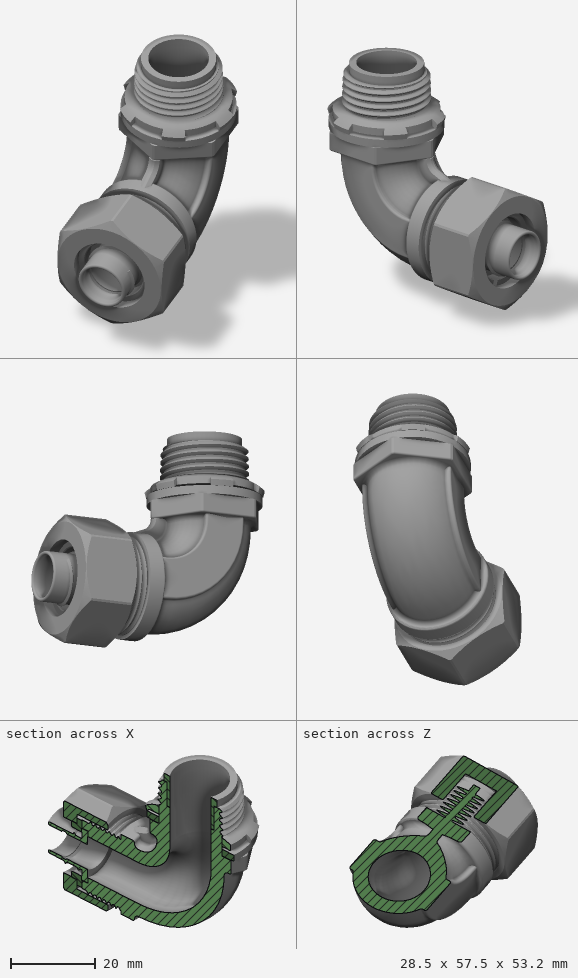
import cadquery as cq
import math


pipe_bore_radius = 7.2
pipe_radius = 10.9
bend_radius = 15.75
pad_half_span = 11.15
pad_width = 10.05
pad_shift = 0.3
pad_fillet = 0.5

box_hex_flats = 24.95
box_hex_corner_chamfer = 0.4
box_hex_bottom = 17.0
box_hex_top = 21.55
box_hex_fillet = 0.4
neck_radius = 10.35
neck_shoulder = 27.05
neck_top = 35.45

box_thread_root = 9.5
box_thread_height = 0.85
box_thread_pitch = 9.1 / 5
box_thread_taper = 1.8
box_thread_start = 36.3
box_thread_lead_in = 9.75

flange_radius = 12.8
flange_back = -16.95
flange_front = -21.15
flange_fillet = 0.6
root_fillet = 1.1

sleeve_radius = 11.15
sleeve_end = -33.05
gland_thread_height = 0.7
gland_thread_pitch = 14.1 / 10
gland_thread_start = -31.45

rib_half_width = 1.4
rib_depth = 4.6
rib_arc_radius = 2.95
rib_arc_angle = 69.0
rib_run = 4.35
rib_fillet = 0.45

throat_head_radius = 8.9
throat_top = 37.7
throat_bottom = 28.15
throat_sleeve_radius = 7.95

washer_radius = 13.75
washer_top = 23.55

locknut_radius = 28.45 / 2
locknut_rim_height = 24.95
locknut_crown_radius = 13.0
locknut_crown_height = 25.9
locknut_underside = 24.25
tooth_root_radius = 12.85
tooth_foot_radius = 13.85
notch_count = 6
notch_inner_radius = 12.75
notch_angle = 37.0
notch_fillet = 0.35
first_notch_at = 20.0

nut_flats = 27.2
nut_corner_chamfer = 0.35
nut_back = -25.05
nut_front = -38.7
nut_face_radius = 13.45
nut_chamfer_length = 1.55
nut_mouth_radius = 9.2
nut_bore_radius = 11.95
nut_shoulder = -34.5

ring_inner_radius = 7.6
ring_chamfer = 0.25
ring_flange_radius = 10.9
ring_front = -36.2
ring_slot_width = 1.4
ring_slot_angle = -107.5

ferrule_bore_radius = 5.2
ferrule_groove_radius = 5.45
ferrule_groove_setback = 4.3
ferrule_groove_width = 1.15
ferrule_radius = 6.05
ferrule_tip = -43.25
ferrule_flange_radius = 8.6
ferrule_flange_length = 1.7
ferrule_ridge_height = 0.6
ferrule_ridge_width = 1.15
ferrule_ridge_pitch = 4.0
ferrule_ridge_start = -39.1
ferrule_ridge_turns = 1.3
ferrule_ridge_angle = 33.0

thread_overlap = 0.2
thread_base_share = 0.9
ridge_crest_share = 0.1
no_taper = 360


def turned(plane, outline):
    """Revolve (radius, station) points about the Z axis (plane XZ) or the Y axis (plane XY)."""
    return cq.Workplane(plane).polyline(outline).close().revolve(360, (0, 0), (0, 1))


def tube(plane, inner, outer, start, end):
    return turned(plane, [(inner, start), (outer, start), (outer, end), (inner, end)])


def rod(plane, radius, start, end):
    return tube(plane, 0, radius, start, end)


def hexagon(plane, across_flats, length, corner_chamfer):
    """Hexagonal prism with flats facing +X and -X and trimmed corners."""
    corner = across_flats / math.sqrt(3)
    points = [
        (corner * math.cos(math.radians(angle)), corner * math.sin(math.radians(angle)))
        for angle in range(30, 390, 60)
    ]
    prism = cq.Workplane(plane).polyline(points).close().extrude(length)
    return prism.edges("|Z" if plane == "XY" else "|Y").chamfer(corner_chamfer)


def thread_ridge(root_radius, height, pitch, turns, base_width, taper=no_taper):
    """Right-hand helical ridge that climbs +Z from the XY plane, starting on the +X axis."""
    path = cq.Wire.makeHelix(pitch, pitch * turns, root_radius, angle=taper)
    half_base = base_width / 2
    half_crest = half_base * ridge_crest_share
    profile = (
        cq.Workplane("XZ")
        .moveTo(root_radius - thread_overlap, -half_base)
        .lineTo(root_radius + height, -half_crest)
        .lineTo(root_radius + height, half_crest)
        .lineTo(root_radius - thread_overlap, half_base)
        .close()
    )
    return profile.sweep(cq.Workplane(path), isFrenet=True)


def along_y(shape):
    """Turn a shape built along +Z so that it runs along +Y."""
    return shape.rotate((0, 0, 0), (1, 0, 0), -90)


def bent(workplane):
    """Sweep a pending section at the top of the bend through the quarter turn."""
    return workplane.revolve(90, (0, -bend_radius), (-1, -bend_radius))


def bend_top():
    return cq.Workplane("XY", origin=(0, 0, bend_radius))


def pipe_section(shift):
    """Pipe circle merged with the pads, which are shifted along the local y axis."""
    return (
        cq.Sketch()
        .circle(pipe_radius)
        .push([(0, shift)])
        .rect(2 * pad_half_span, pad_width)
        .reset()
        .clean()
        .vertices()
        .fillet(pad_fillet)
    )


def make_elbow_pipe():
    """Round pipe with a raised flat pad along each side."""
    upper_section = pipe_section(-pad_shift)
    lower_section = pipe_section(pad_shift)
    bend = bent(bend_top().placeSketch(upper_section))
    upper = bend_top().placeSketch(upper_section).extrude(box_hex_bottom - bend_radius)
    lower = (
        cq.Workplane("XZ", origin=(0, -bend_radius, 0))
        .placeSketch(lower_section)
        .extrude(-flange_back - bend_radius)
    )
    return bend.union(upper).union(lower)


def root_flare(plane, seat):
    """Concave fillet ring between the pipe and the face it meets at the given station."""
    tangent = seat - math.copysign(root_fillet, seat)
    arc_middle = root_fillet * (1 - math.sqrt(0.5))
    arc_point = (pipe_radius + arc_middle, seat - math.copysign(arc_middle, seat))
    return (
        cq.Workplane(plane)
        .moveTo(pipe_bore_radius, seat)
        .lineTo(pipe_radius + root_fillet, seat)
        .threePointArc(arc_point, (pipe_radius, tangent))
        .lineTo(pipe_bore_radius, tangent)
        .close()
        .revolve(360, (0, 0), (0, 1))
    )


def make_rib():
    """Roof-shaped rib that carries the front corner of the hexagon down to the flange."""
    ridge_y = -(box_hex_flats / math.sqrt(3) - box_hex_corner_chamfer / 2)
    crest_half_width = box_hex_corner_chamfer * math.sqrt(3) / 2
    shoulder_y = ridge_y + (rib_half_width - crest_half_width) * math.tan(math.radians(30))
    inner_y = ridge_y + rib_depth
    turn = math.radians(rib_arc_angle)

    def on_arc(angle):
        return (
            ridge_y - rib_arc_radius * (1 - math.cos(angle)),
            box_hex_bottom - rib_arc_radius * math.sin(angle),
        )

    arc_end = on_arc(turn)
    run_end = (arc_end[0] - rib_run * math.sin(turn), arc_end[1] - rib_run * math.cos(turn))
    path = (
        cq.Workplane("YZ")
        .moveTo(*on_arc(0))
        .threePointArc(on_arc(turn / 2), arc_end)
        .lineTo(*run_end)
    )
    section = [
        (crest_half_width, ridge_y),
        (rib_half_width, shoulder_y),
        (rib_half_width, inner_y),
        (-rib_half_width, inner_y),
        (-rib_half_width, shoulder_y),
        (-crest_half_width, ridge_y),
    ]
    return (
        cq.Workplane("XY", origin=(0, 0, box_hex_bottom))
        .polyline(section)
        .close()
        .sweep(path, transition="right")
    )


def make_ribbed_pipe():
    """Pipe and rib, filleted where the rib flanks leave the pipe."""
    ribbed = make_elbow_pipe().union(make_rib())
    foot_radius = bend_radius - math.sqrt(pipe_radius**2 - rib_half_width**2)
    flank_feet = [
        edge for edge in ribbed.edges("%CIRCLE").vals()
        if math.isclose(edge.radius(), foot_radius, abs_tol=0.005)
    ]
    return ribbed.newObject(flank_feet).fillet(rib_fillet)


def make_box_thread():
    """Tapered thread on the neck, cut off square at the shoulder and with a lead-in on top."""
    turns = math.ceil((box_thread_start - neck_shoulder) / box_thread_pitch) + 1
    base_width = box_thread_pitch * thread_base_share
    ridge = thread_ridge(
        box_thread_root, box_thread_height, box_thread_pitch, turns, base_width, box_thread_taper
    )
    ridge = ridge.rotate((0, 0, 0), (1, 0, 0), 180).translate((0, 0, box_thread_start))
    outside = box_thread_root + 2 * box_thread_height
    envelope = turned("XZ", [
        (0, neck_shoulder),
        (outside, neck_shoulder),
        (outside, neck_top - outside + box_thread_lead_in),
        (box_thread_lead_in, neck_top),
        (0, neck_top),
    ])
    return ridge.intersect(envelope)


def make_gland_thread():
    """Straight thread on the sleeve, running up to the flange."""
    turns = math.ceil((flange_front - gland_thread_start) / gland_thread_pitch)
    base_width = gland_thread_pitch * thread_base_share
    ridge = thread_ridge(sleeve_radius, gland_thread_height, gland_thread_pitch, turns, base_width)
    ridge = along_y(ridge).translate((0, gland_thread_start, 0))
    return ridge.intersect(rod("XY", nut_bore_radius, sleeve_end, flange_front))


def make_elbow():
    """Cast body: bend, box-end hexagon and neck, conduit-end flange and sleeve."""
    box_hex = hexagon("XY", box_hex_flats, box_hex_top - box_hex_bottom, box_hex_corner_chamfer)
    box_hex = box_hex.faces("<Z").edges().fillet(box_hex_fillet).translate((0, 0, box_hex_bottom))
    flange = rod("XY", flange_radius, flange_front, flange_back).faces(">Y").edges().fillet(flange_fillet)
    body = (
        make_ribbed_pipe()
        .union(root_flare("XZ", box_hex_bottom))
        .union(root_flare("XY", flange_back))
        .union(box_hex)
        .union(flange)
        .union(rod("XZ", neck_radius, box_hex_top, neck_shoulder))
        .union(rod("XY", sleeve_radius, sleeve_end, flange_front))
    )
    core_foot = box_thread_root + (neck_top - neck_shoulder) * math.tan(math.radians(box_thread_taper))
    core = turned("XZ", [
        (0, neck_shoulder),
        (core_foot, neck_shoulder),
        (box_thread_root, neck_top),
        (0, neck_top),
    ])
    body = body.union(core.union(make_box_thread())).union(make_gland_thread())
    body = (
        body.cut(bent(bend_top().circle(pipe_bore_radius)))
        .cut(rod("XZ", pipe_bore_radius, bend_radius, neck_top))
        .cut(rod("XY", pipe_bore_radius, sleeve_end, -bend_radius))
    )
    throat_seat = rod("XZ", throat_sleeve_radius, throat_bottom, neck_top)
    ferrule_seat = rod("XY", ferrule_flange_radius, sleeve_end, sleeve_end + ferrule_flange_length)
    return body.cut(throat_seat).cut(ferrule_seat)


def make_throat():
    """Insulating liner whose head stands on the end of the neck."""
    head = tube("XZ", pipe_bore_radius, throat_head_radius, neck_top, throat_top)
    return head.union(tube("XZ", pipe_bore_radius, throat_sleeve_radius, throat_bottom, neck_top))


def make_washer():
    return tube("XZ", neck_radius, washer_radius, box_hex_top, washer_top)


def wedge(half_angle):
    """Triangular prism that opens from the Z axis towards +X, wider than the locknut."""
    reach = 3 * locknut_radius
    rise = reach * math.tan(math.radians(half_angle))
    return cq.Workplane("XY").polyline([(0, 0), (reach, rise), (reach, -rise)]).close().extrude(neck_top)


def make_locknut():
    """Domed ring whose rim is notched into teeth that reach down to the washer."""
    dome = (
        cq.Workplane("XZ")
        .moveTo(neck_radius, locknut_underside)
        .lineTo(tooth_root_radius, locknut_underside)
        .lineTo(tooth_foot_radius, washer_top)
        .lineTo(locknut_radius, locknut_rim_height)
        .threePointArc((locknut_crown_radius, locknut_crown_height), (neck_radius, neck_shoulder))
        .close()
        .revolve(360, (0, 0), (0, 1))
    )
    notch = tube("XZ", notch_inner_radius, 2 * locknut_radius, washer_top, neck_shoulder)
    notch = notch.intersect(wedge(notch_angle / 2))
    notch = notch.edges("|Z").edges("<<X[0]").fillet(notch_fillet)
    for index in range(notch_count):
        turn = first_notch_at + index * 360 / notch_count
        dome = dome.cut(notch.rotate((0, 0, 0), (0, 0, 1), turn))
    return dome


def make_gland_nut():
    """Hexagon nut chamfered at both ends, with a mouth narrower than its bore."""
    corner = nut_flats / math.sqrt(3)
    blank = hexagon("XZ", nut_flats, nut_back - nut_front, nut_corner_chamfer).translate((0, nut_back, 0))
    blank = blank.intersect(turned("XY", [
        (0, nut_front),
        (nut_face_radius, nut_front),
        (corner, nut_front + nut_chamfer_length),
        (corner, nut_back - nut_chamfer_length),
        (nut_face_radius, nut_back),
        (0, nut_back),
    ]))
    return blank.cut(rod("XY", nut_mouth_radius, nut_front, nut_back)).cut(
        rod("XY", nut_bore_radius, nut_shoulder, nut_back)
    )


def make_gland_ring():
    """Split ring in the nut mouth, held by a flange between the nut and the sleeve."""
    ring = tube("XY", ring_inner_radius, nut_mouth_radius, ring_front, nut_shoulder)
    ring = ring.faces("<Y").edges("%CIRCLE").edges(cq.selectors.RadiusNthSelector(0)).chamfer(ring_chamfer)
    ring = ring.union(tube("XY", ring_inner_radius, ring_flange_radius, nut_shoulder, sleeve_end))
    slot = (
        cq.Workplane("XY")
        .box(2 * ring_flange_radius, sleeve_end - ring_front, ring_slot_width, centered=(False, False, True))
        .translate((0, ring_front, 0))
        .rotate((0, 0, 0), (0, 1, 0), -ring_slot_angle)
    )
    return ring.cut(slot)


def make_ferrule():
    """Tube with a seating flange and a short screw ridge that bites into the conduit."""
    rim_radius = (ferrule_radius - ferrule_bore_radius) / 2
    barrel = (
        cq.Workplane("XY")
        .moveTo(ferrule_bore_radius, ferrule_tip + rim_radius)
        .threePointArc(
            (ferrule_bore_radius + rim_radius, ferrule_tip), (ferrule_radius, ferrule_tip + rim_radius)
        )
        .lineTo(ferrule_radius, sleeve_end)
        .lineTo(ferrule_bore_radius, sleeve_end)
        .close()
        .revolve(360, (0, 0), (0, 1))
    )
    groove_start = ferrule_tip + ferrule_groove_setback
    barrel = barrel.cut(
        tube("XY", 0, ferrule_groove_radius, groove_start, groove_start + ferrule_groove_width)
    )
    flange_end = sleeve_end + ferrule_flange_length
    flange = tube("XY", ferrule_bore_radius, ferrule_flange_radius, sleeve_end, flange_end)
    ridge = thread_ridge(
        ferrule_radius, ferrule_ridge_height, ferrule_ridge_pitch, ferrule_ridge_turns, ferrule_ridge_width
    )
    ridge = along_y(ridge.rotate((0, 0, 0), (0, 0, 1), -ferrule_ridge_angle))
    return barrel.union(ridge.translate((0, ferrule_ridge_start, 0))).union(flange)


elbow = make_elbow()
throat = make_throat()
washer = make_washer()
locknut = make_locknut()
gland_nut = make_gland_nut()
gland_ring = make_gland_ring()
ferrule = make_ferrule()

result = cq.Compound.makeCompound([
    elbow.val(),
    throat.val(),
    washer.val(),
    locknut.val(),
    gland_nut.val(),
    gland_ring.val(),
    ferrule.val(),
])